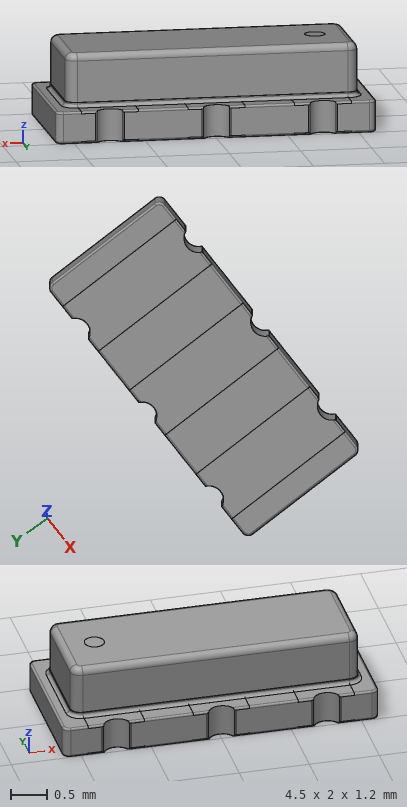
import cadquery as cq
import math

base_length = 4.5
base_width = 2.0
base_height = 0.45
base_corner_radius = 0.1
base_edge_radius = 0.0295

notch_pitch = 1.5
notch_radius = 0.2
notch_depth = 0.12
notch_offset = base_width / 2 + notch_radius - notch_depth

electrode_count = 3
electrode_width = 0.8
electrode_thickness = base_edge_radius
notch_lining = 0.02
electrode_positions = [
    (i - (electrode_count - 1) / 2) * notch_pitch for i in range(electrode_count)
]

total_height = 1.2
cap_length = 4.1
cap_width = 1.4
cap_corner_radius = 0.15
cap_edge_radius = 0.1

seal_height = 0.068
seal_ledge = 0.01
seal_lip = 0.02
flare_radius = seal_height - seal_lip
seal_top = base_height + seal_height

dot_diameter = 0.28
dot_depth = 0.02
dot_x = -1.56


def rounded_block(length, width, bottom, height, corner_radius):
    """Upright block with rounded vertical edges, standing on the height `bottom`."""
    block = cq.Workplane("XY").workplane(offset=bottom).rect(length, width).extrude(height)
    return block.edges("|Z").fillet(corner_radius)


def notch_cutters(radius):
    """Upright cylinders centred on the castellations of both long sides."""
    centers = [(x, side * notch_offset) for x in electrode_positions for side in (-1, 1)]
    return cq.Workplane("XY").pushPoints(centers).circle(radius).extrude(base_height)


def make_base_envelope():
    """Outer shape shared by the base and the electrodes let into it."""
    block = rounded_block(base_length, base_width, 0, base_height, base_corner_radius)
    block = block.faces("<Z or >Z").edges().fillet(base_edge_radius)
    return block.cut(notch_cutters(notch_radius))


def make_electrode_core():
    """Space inside the electrodes that the ceramic fills."""
    core = (
        cq.Workplane("XY")
        .workplane(offset=electrode_thickness)
        .rect(base_length, base_width)
        .extrude(base_height - 2 * electrode_thickness)
    )
    return core.cut(notch_cutters(notch_radius + notch_lining))


def make_electrode(envelope, core, x):
    """One closed band: top and bottom layers joined by the two notch linings."""
    slab = cq.Workplane("XY").center(x, 0).rect(electrode_width, base_width).extrude(base_height)
    return envelope.intersect(slab).cut(core)


def make_base(envelope, electrodes):
    """Ceramic block with a recess for each electrode."""
    base = envelope
    for electrode in electrodes:
        base = base.cut(electrode)
    return base


def make_seal():
    """Slab under the cap whose rim flares out onto the base in a concave quarter round."""
    lip_length = cap_length + 2 * seal_ledge
    lip_width = cap_width + 2 * seal_ledge
    lip_corner = cap_corner_radius + seal_ledge
    slab = rounded_block(lip_length, lip_width, base_height, seal_height, lip_corner)

    lip_x = lip_length / 2
    inner_x = lip_x - lip_corner / 2
    flare_top = base_height + flare_radius
    arc_sag = flare_radius * (1 - math.sqrt(0.5))
    flare_profile = (
        cq.Workplane("XZ")
        .moveTo(inner_x, base_height)
        .lineTo(lip_x + flare_radius, base_height)
        .threePointArc((lip_x + arc_sag, base_height + arc_sag), (lip_x, flare_top))
        .lineTo(inner_x, flare_top)
        .close()
    )
    return slab.union(flare_profile.sweep(slab.faces("<Z").wires()))


def make_dot():
    """Thin disc flush with the cap top."""
    return (
        cq.Workplane("XY")
        .workplane(offset=total_height - dot_depth)
        .center(dot_x, 0)
        .circle(dot_diameter / 2)
        .extrude(dot_depth)
    )


def make_cap(dot):
    """Rounded cover with a recess for the index dot."""
    cap = rounded_block(cap_length, cap_width, seal_top, total_height - seal_top, cap_corner_radius)
    return cap.faces(">Z").edges().fillet(cap_edge_radius).cut(dot)


envelope = make_base_envelope()
core = make_electrode_core()
electrodes = [make_electrode(envelope, core, x) for x in electrode_positions]
base = make_base(envelope, electrodes)
seal = make_seal()
dot = make_dot()
cap = make_cap(dot)

bodies = [base, *electrodes, seal, cap, dot]
result = cq.Compound.makeCompound([body.solids().val() for body in bodies])